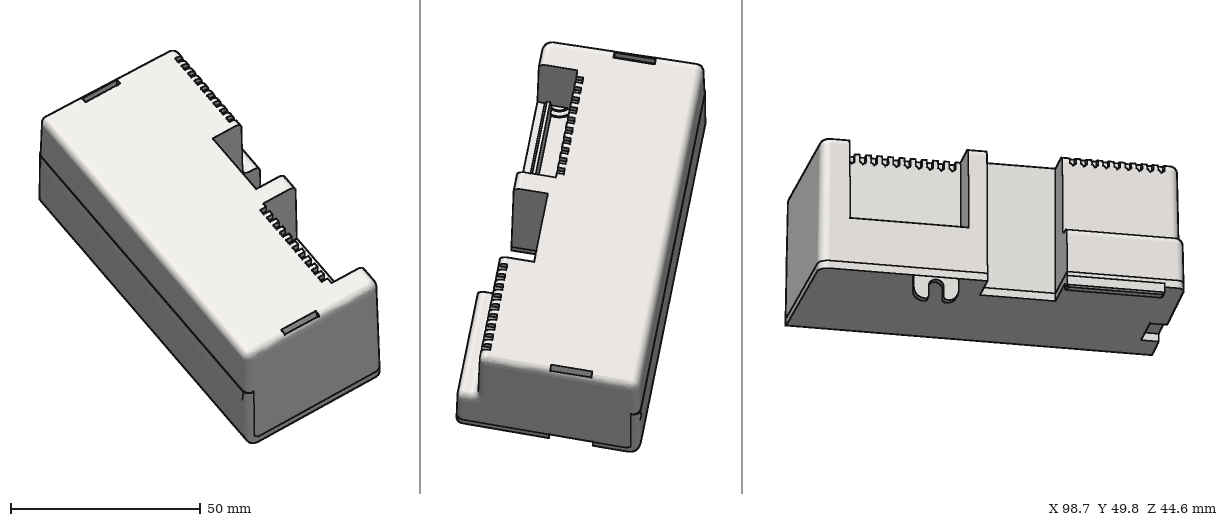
import cadquery as cq
import math


length = 98.7
depth = 49.8
height = 38.3
draft = math.tan(math.radians(1.0))
plan_draft = math.tan(math.radians(0.8))
front_rise = 0.6
corner_radius = 2.1
right_corner_radius = 2.8
base_front_radius = 3.95
upper_back_y = 44.2
step_z = 15.1
step_inner_radius = 2.2

gap_left = -16.9
gap_right = 3.5
gap_front_y = 34.4

floor_thickness = 2.2
front_wall = 2.5
front_wall_top = 22.9
inner_chamfer = 1.2
housing_setback = 0.2
bevel_bottom_z = 18.9
bevel_depth = 0.1
rail_front_y = 12.7
rail_back_y = 24.5
rail_length = 4.9

foot_left = -43.2
foot_right = gap_left
foot_width = 3.2
foot_drop = 2.0
foot_chamfer = 0.5

lug_x = 17.3
lug_width = 12.0
lug_thickness = 1.9
lug_drop = 6.3
lug_slot_width = 4.0
lug_slot_top = -0.7
lug_outer_radius = 2.9
lug_inner_radius = 0.9

pocket_left = 8.5
pocket_right = 40.5
pocket_front_y = 33.2
pocket_wall_lean = 0.7
pocket_floor_z = 12.8
ledge_z = 15.1
ridge_z = 16.3
ridge_back_y = 42.0
ridge_front_y = 40.5
ridge_slope = 0.6
boss_x = 42.9
boss_y = 38.4
boss_radii = (4.8, 3.5)
boss_step = 0.8

notch_width = 1.7
notch_wall = 2.0
notch_vee = 0.8
left_notch_count = 9
left_notch_first = -43.6
left_notch_last = -19.7
left_notch_front_y = 41.2
right_notch_count = 10
right_notch_first = 10.7
right_notch_last = 37.8
right_notch_front_y = 31.3

latch_inner_x = 45.8
latch_outer_x = 47.5
latch_depth = 3.0
latch_front_y = 13.4
latch_back_y = rail_back_y

overshoot = 4.9
edge_tolerance = 0.1
half_length = length / 2


def along_x(profile, x_start, x_end):
    """Extrude a closed Y-Z sketch from x_start to x_end."""
    return profile.extrude(x_end - x_start).translate((x_start, 0, 0))


def box(x_range, y_range, z_range):
    """Box between the given limits."""
    (x0, x1), (y0, y1), (z0, z1) = x_range, y_range, z_range
    return cq.Workplane("XY").box(x1 - x0, y1 - y0, z1 - z0, centered=False).translate((x0, y0, z0))


def bottom_z(y):
    """Height of the sloping underside at depth y."""
    return front_rise * (1 - y / depth)


def profile_start(front_bottom_y, front_top_y):
    """Front edge and top edge, shared by both side profiles."""
    return (
        cq.Workplane("YZ")
        .moveTo(front_bottom_y, bottom_z(front_bottom_y))
        .lineTo(front_top_y, height)
        .lineTo(upper_back_y - height * draft, height)
    )


def right_profile(front_bottom_y, front_top_y):
    """Side profile with a plain rear face."""
    start = profile_start(front_bottom_y, front_top_y)
    return start.lineTo(upper_back_y, bottom_z(upper_back_y)).close()


def left_profile(front_bottom_y, front_top_y):
    """Side profile with the low step at the rear, blended in with a concave arc."""
    arc_z = step_z + step_inner_radius
    wall_y = upper_back_y - arc_z * draft
    arc_y = wall_y + step_inner_radius
    bend = step_inner_radius * (1 - math.sqrt(0.5))
    return (
        profile_start(front_bottom_y, front_top_y)
        .lineTo(wall_y, arc_z)
        .threePointArc((wall_y + bend, step_z + bend), (arc_y, step_z))
        .lineTo(depth - step_z * draft, step_z)
        .lineTo(depth, 0)
        .close()
    )


def end_taper():
    """Block whose two ends lean inwards both towards the top and towards the rear."""
    widest_y = base_front_radius
    bottom_half_at_widest = half_length + bottom_z(widest_y) * draft

    def section(y):
        bottom_half = bottom_half_at_widest - (y - widest_y) * plan_draft
        top_half = bottom_half - height * draft
        corners = [(-bottom_half, 0), (bottom_half, 0), (top_half, height), (-top_half, height)]
        return cq.Wire.makePolygon([cq.Vector(x, y, z) for x, z in corners], close=True)

    return cq.Workplane(cq.Solid.makeLoft([section(-overshoot), section(depth + overshoot)], True))


def edges_to_round(block, outer_side):
    """Edges of the outer end face, the top face and the step, leaving out the underside."""
    end_edges = [
        edge for edge in block.faces(outer_side).edges().vals()
        if edge.positionAt(0.5).z > floor_thickness
    ]
    top_edges = [
        edge for edge in block.edges("|X").vals()
        if edge.Center().z > height - edge_tolerance
    ]
    step_edges = [
        edge for edge in block.edges("|X").vals()
        if edge.Center().y > depth - 1 and edge.Center().z > step_z - edge_tolerance
    ]
    return end_edges + top_edges + step_edges


def envelope(front_bottom_y, front_top_y):
    """Rounded outer shape of the closed enclosure, with the gap between the two rear towers."""
    taper = end_taper()
    left = along_x(left_profile(front_bottom_y, front_top_y), -length, gap_left).intersect(taper)
    left = left.newObject(edges_to_round(left, "<X")).fillet(corner_radius)

    right = along_x(right_profile(front_bottom_y, front_top_y), gap_left, length).intersect(taper)
    rear_corner = right.faces(">X").edges(">Y")
    right = rear_corner.fillet(right_corner_radius)
    right = right.newObject(edges_to_round(right, ">X")).fillet(corner_radius)

    gap = box((gap_left, gap_right), (gap_front_y, depth + overshoot), (-overshoot, height + overshoot))
    return left.union(right).cut(gap)


def base_region():
    """L-shaped space that the base fills inside the envelope."""
    floor_front = bottom_z(0) + floor_thickness
    floor_back = bottom_z(depth) + floor_thickness
    profile = (
        cq.Workplane("YZ")
        .moveTo(-overshoot, -overshoot)
        .lineTo(-overshoot, front_wall_top)
        .lineTo(front_wall, front_wall_top)
        .lineTo(front_wall, floor_front + inner_chamfer)
        .lineTo(front_wall + inner_chamfer, floor_front)
        .lineTo(depth + overshoot, floor_back)
        .lineTo(depth + overshoot, -overshoot)
        .close()
    )
    return along_x(profile, -length, length)


def front_round():
    """Material to remove below the front edge to leave it rounded."""
    bottom = bottom_z(base_front_radius)
    centre_z = bottom + base_front_radius
    bend = base_front_radius * (1 - math.sqrt(0.5))
    profile = (
        cq.Workplane("YZ")
        .moveTo(0, centre_z)
        .threePointArc((bend, bottom + bend), (base_front_radius, bottom))
        .lineTo(base_front_radius, -overshoot)
        .lineTo(-overshoot, -overshoot)
        .lineTo(-overshoot, centre_z)
        .close()
    )
    return along_x(profile, -length, length)


def front_bevel():
    """Thin wedge taken off the top of the front wall."""
    profile = (
        cq.Workplane("YZ")
        .polyline([(0, bevel_bottom_z), (bevel_depth, front_wall_top), (0, front_wall_top)])
        .close()
    )
    return along_x(profile, -length, length)


def make_foot():
    """Bar under the rear edge of the left tower."""
    foot = box((foot_left, foot_right), (depth - foot_width, depth), (-foot_drop, floor_thickness / 2))
    return foot.faces("<Z").edges().chamfer(foot_chamfer)


def make_lug():
    """Forked plate hanging below the rear edge of the right tower."""
    plate_back = upper_back_y - floor_thickness * draft
    half_width = lug_width / 2
    plate = box(
        (lug_x - half_width, lug_x + half_width),
        (plate_back - lug_thickness, plate_back),
        (-lug_drop, floor_thickness / 2),
    )
    slot_radius = lug_slot_width / 2
    slot_centre_z = lug_slot_top - slot_radius
    slot = (
        cq.Workplane("XZ")
        .moveTo(lug_x - slot_radius, -lug_drop - overshoot)
        .lineTo(lug_x - slot_radius, slot_centre_z)
        .threePointArc((lug_x, lug_slot_top), (lug_x + slot_radius, slot_centre_z))
        .lineTo(lug_x + slot_radius, -lug_drop - overshoot)
        .close()
        .extrude(-depth)
    )
    fork = plate.cut(slot)
    fork = fork.faces("<Z").edges("|Y").edges("<X or >X").fillet(lug_outer_radius)
    return fork.faces("<Z").edges("|Y").edges(
        cq.selectors.BoxSelector(
            (lug_x - slot_radius - edge_tolerance, 0, -lug_drop - edge_tolerance),
            (lug_x + slot_radius + edge_tolerance, depth, -lug_drop + edge_tolerance),
        )
    ).fillet(lug_inner_radius)


def make_base():
    """Floor and front wall, with the rail notch, the foot and the lug."""
    rail_notch = box(
        (-half_length - overshoot, -half_length + rail_length),
        (rail_front_y, rail_back_y),
        (-overshoot, height / 2),
    )
    shell = envelope(0, 0)
    base = shell.intersect(base_region()).cut(front_round()).cut(front_bevel()).cut(rail_notch)
    return base.union(make_foot()).union(make_lug())


def connector_pocket():
    """Space cut out of the right tower for a connector, open to the rear."""
    profile = (
        cq.Workplane("YZ")
        .moveTo(pocket_front_y, height)
        .lineTo(pocket_front_y + pocket_wall_lean, pocket_floor_z)
        .lineTo(ridge_front_y - ridge_slope, pocket_floor_z)
        .lineTo(ridge_front_y, ridge_z)
        .lineTo(ridge_back_y - ridge_slope, ridge_z)
        .lineTo(ridge_back_y, ledge_z)
        .lineTo(depth, ledge_z)
        .lineTo(depth, height)
        .close()
    )
    pocket = along_x(profile, pocket_left, pocket_right)
    for level, radius in enumerate(boss_radii, start=1):
        boss = cq.Workplane("XY").center(boss_x, boss_y).circle(radius).extrude(level * boss_step)
        pocket = pocket.cut(boss.translate((0, 0, pocket_floor_z)))
    return pocket


def notch_row(first_x, last_x, count, front_y, back_y):
    """Row of vee-bottomed notches cut down from the top face."""
    half = notch_width / 2
    wall_z = height - notch_wall
    notch = (
        cq.Workplane("XZ")
        .polyline([(-half, height), (-half, wall_z), (0, wall_z - notch_vee), (half, wall_z), (half, height)])
        .close()
        .extrude(front_y - back_y)
    )
    pitch = (last_x - first_x) / (count - 1)
    return [notch.translate((first_x + i * pitch, front_y, 0)) for i in range(count)]


def latch_slot():
    """Slot with a sloping floor along the right top edge."""
    profile = (
        cq.Workplane("XZ")
        .polyline([(latch_inner_x, height), (latch_outer_x, height), (latch_outer_x, height - latch_depth)])
        .close()
    )
    return profile.extrude(latch_front_y - latch_back_y).translate((0, latch_front_y, 0))


def make_housing():
    """Upper body with the connector pocket, contact notches and latch slots."""
    front_bottom_y = housing_setback - front_wall_top * draft
    shell = envelope(front_bottom_y, front_bottom_y + height * draft)
    housing = shell.cut(base_region()).cut(connector_pocket())
    left_notches = notch_row(
        left_notch_first, left_notch_last, left_notch_count, left_notch_front_y, upper_back_y)
    right_notches = notch_row(
        right_notch_first, right_notch_last, right_notch_count, right_notch_front_y,
        pocket_front_y + pocket_wall_lean)
    for notch in left_notches + right_notches:
        housing = housing.cut(notch)
    slot = latch_slot()
    return housing.cut(slot).cut(slot.mirror("YZ"))


housing = make_housing()
base = make_base()
result = cq.Compound.makeCompound([housing.val(), base.val()])